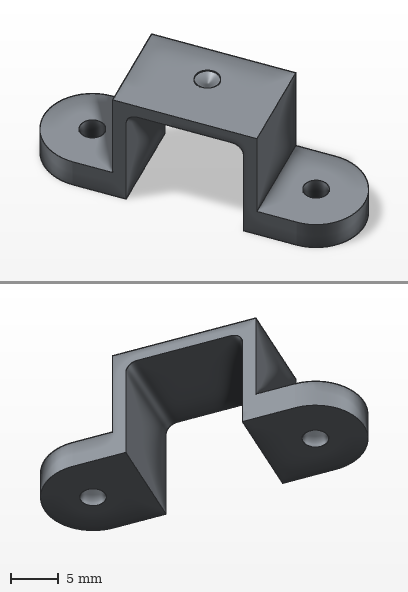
import cadquery as cq

length = 36.15
width = 11.0
height = 13.55

wall = 1.52
bridge_length = 16.23
foot_height = 3.25
inner_corner_radius = 1.3

hole_diameter = 2.8
dimple_wall_depth = 0.15
dimple_cone_depth = 0.83
dimple_x = -0.1
dimple_y = 1.15

end_radius = width / 2
hole_x = length / 2 - end_radius
channel_length = bridge_length - 2 * wall
channel_height = height - wall


def make_feet():
    """Flat base with fully rounded ends and a mounting hole at each end centre."""
    return (
        cq.Workplane("XY")
        .slot2D(length, width)
        .extrude(foot_height)
        .faces(">Z")
        .workplane()
        .pushPoints([(-hole_x, 0), (hole_x, 0)])
        .hole(hole_diameter)
    )


def make_bridge():
    """Raised block spanning the two feet."""
    return cq.Workplane("XY").box(bridge_length, width, height, centered=(True, True, False))


def make_channel():
    """Through channel under the bridge, rounded along its upper edges."""
    return (
        cq.Workplane("XY")
        .box(channel_length, width, channel_height, centered=(True, True, False))
        .edges("|Y and >Z")
        .fillet(inner_corner_radius)
    )


def make_dimple():
    """Shallow round recess in the top face with a conical bottom."""
    down = cq.Vector(0, 0, -1)
    radius = hole_diameter / 2
    top_centre = cq.Vector(dimple_x, dimple_y, height)
    cone_centre = top_centre + down * dimple_wall_depth
    straight_part = cq.Solid.makeCylinder(radius, dimple_wall_depth, top_centre, down)
    conical_part = cq.Solid.makeCone(radius, 0, dimple_cone_depth, cone_centre, down)
    return cq.Workplane(obj=straight_part).union(cq.Workplane(obj=conical_part))


result = make_feet().union(make_bridge()).cut(make_channel()).cut(make_dimple())